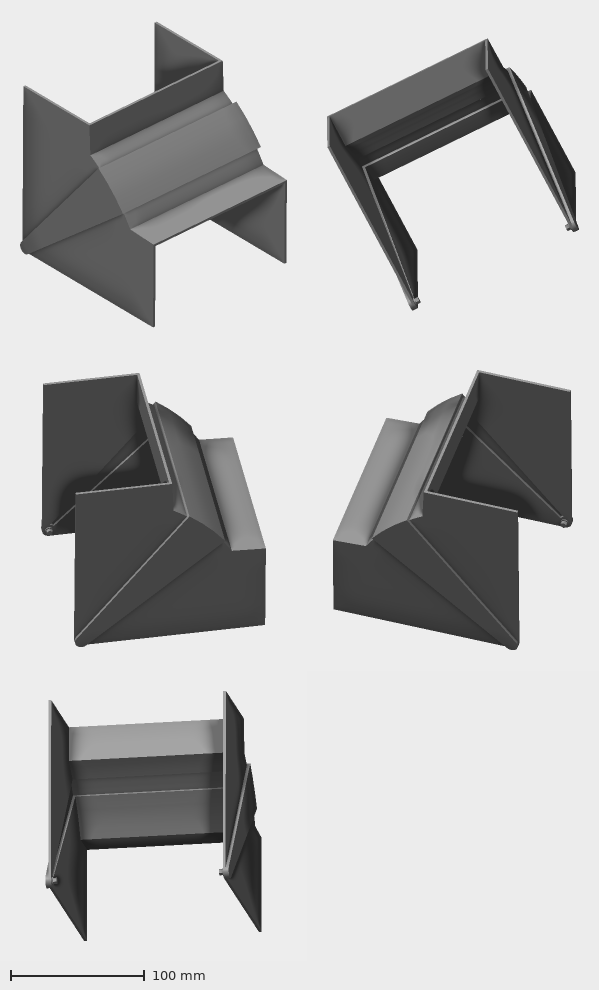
import cadquery as cq
import math


TILT = 0.43
HINGE_RADIUS = 5.18
LEG_LENGTH = 139.7
LEG_WIDTH = 68.0
LEG_ROOT_WIDTH = 69.4
ARC_RADIUS = 133.3
BRACKET_WALL = 2.0
SLOT_START = 45.4
SLOT_END = 50.8
SLOT_ROOT_WIDTH = 2.6

COVER_WALL = 2.3
COVER_RADIUS = 135.5
COVER_HALF_ANGLE = 6.0
COVER_DIRECTION = 44.7
TOTAL_WIDTH = 139.5

PIN_RADIUS = 3.5
COLLAR_RADIUS = 3.0
COLLAR_LENGTH = 0.9
TIP_RADIUS = 2.5
PIN_PROTRUSION = 3.7

COVER_HALF_WIDTH = TOTAL_WIDTH / 2
BRACKET_HALF_WIDTH = COVER_HALF_WIDTH - COVER_WALL
INNER_HALF_WIDTH = BRACKET_HALF_WIDTH - BRACKET_WALL
CLEAR = 2 * LEG_LENGTH


def polar(radius, degrees):
    """Point (x, z) at a radius and angle about the hinge axis."""
    angle = math.radians(degrees)
    return radius * math.cos(angle), radius * math.sin(angle)


def extrude_between(profile, y_low, y_high):
    """Extrude an XZ profile from y_low to y_high."""
    return profile.extrude(y_low - y_high).translate((0, y_low, 0))


def plane():
    return cq.Workplane("XZ")


def mirrored(point):
    """Swap the two legs of the bracket."""
    return point[1], point[0]


def bracket_profile(radius, end_width, root_width):
    """Bracket outline for one arc radius and the leg widths at its end and root."""
    leg_end = (end_width, LEG_LENGTH)
    leg_root = (root_width, math.sqrt(radius**2 - root_width**2))
    return (
        plane()
        .moveTo(-HINGE_RADIUS, 0)
        .lineTo(-HINGE_RADIUS, LEG_LENGTH)
        .lineTo(*leg_end)
        .lineTo(*leg_root)
        .threePointArc(polar(radius, 45), mirrored(leg_root))
        .lineTo(*mirrored(leg_end))
        .lineTo(LEG_LENGTH, -HINGE_RADIUS)
        .lineTo(0, -HINGE_RADIUS)
        .threePointArc(polar(HINGE_RADIUS, 225), (-HINGE_RADIUS, 0))
        .close()
    )


def slot_cutter():
    """Wedge between the legs, which leaves the hinge eye whole."""
    root = polar(SLOT_ROOT_WIDTH, SLOT_END + 90)
    reach = polar(CLEAR, SLOT_END)
    upper_end = (root[0] + reach[0], root[1] + reach[1])
    wedge = plane().polyline([(0, 0), polar(CLEAR, SLOT_START), upper_end, root]).close()
    return extrude_between(wedge, -CLEAR, CLEAR).cut(hinge_hole(HINGE_RADIUS))


def hinge_hole(radius):
    return extrude_between(plane().circle(radius), -CLEAR, CLEAR)


def make_bracket():
    outside = bracket_profile(ARC_RADIUS, LEG_WIDTH, LEG_ROOT_WIDTH)
    inner_width = LEG_WIDTH - BRACKET_WALL
    inside = bracket_profile(ARC_RADIUS - BRACKET_WALL, inner_width, inner_width)
    outer = extrude_between(outside, -BRACKET_HALF_WIDTH, BRACKET_HALF_WIDTH)
    cavity = extrude_between(inside, -INNER_HALF_WIDTH, INNER_HALF_WIDTH)
    bracket = outer.cut(cavity).cut(slot_cutter()).cut(hinge_hole(COLLAR_RADIUS))
    return bracket.rotate((0, 0, 0), (0, 1, 0), TILT)


def cover_profile(radius):
    """Sector whose side edges are tangent to the hinge eye."""
    edge_offset = math.degrees(math.asin(HINGE_RADIUS / radius))
    half_spread = COVER_HALF_ANGLE + edge_offset
    tangent_spread = COVER_HALF_ANGLE + 90
    return (
        plane()
        .moveTo(*polar(HINGE_RADIUS, COVER_DIRECTION + tangent_spread))
        .lineTo(*polar(radius, COVER_DIRECTION + half_spread))
        .threePointArc(polar(radius, COVER_DIRECTION), polar(radius, COVER_DIRECTION - half_spread))
        .lineTo(*polar(HINGE_RADIUS, COVER_DIRECTION - tangent_spread))
        .threePointArc(
            polar(HINGE_RADIUS, COVER_DIRECTION + 180),
            polar(HINGE_RADIUS, COVER_DIRECTION + tangent_spread),
        )
        .close()
    )


def make_cover():
    outer = extrude_between(cover_profile(COVER_RADIUS), -COVER_HALF_WIDTH, COVER_HALF_WIDTH)
    bore = extrude_between(plane().circle(ARC_RADIUS), -BRACKET_HALF_WIDTH, BRACKET_HALF_WIDTH)
    return outer.cut(bore).cut(hinge_hole(PIN_RADIUS))


def make_pin():
    """Pin in the +Y cheek: head flush with the cover, then shank, collar and hexagonal tip."""
    collar_y = INNER_HALF_WIDTH - COLLAR_LENGTH
    tip_y = INNER_HALF_WIDTH - PIN_PROTRUSION
    hexagon = [polar(TIP_RADIUS, 30 + 60 * corner) for corner in range(6)]
    head = extrude_between(plane().circle(PIN_RADIUS), BRACKET_HALF_WIDTH, COVER_HALF_WIDTH)
    shank = extrude_between(plane().circle(COLLAR_RADIUS), collar_y, BRACKET_HALF_WIDTH)
    tip = extrude_between(plane().polyline(hexagon).close(), tip_y, collar_y)
    return head.union(shank).union(tip)


bracket = make_bracket()
cover = make_cover()
pins = [make_pin().rotate((0, 0, 0), (0, 0, 1), turn) for turn in (0, 180)]

result = cq.Compound.makeCompound([bracket.val(), cover.val(), *[pin.val() for pin in pins]])